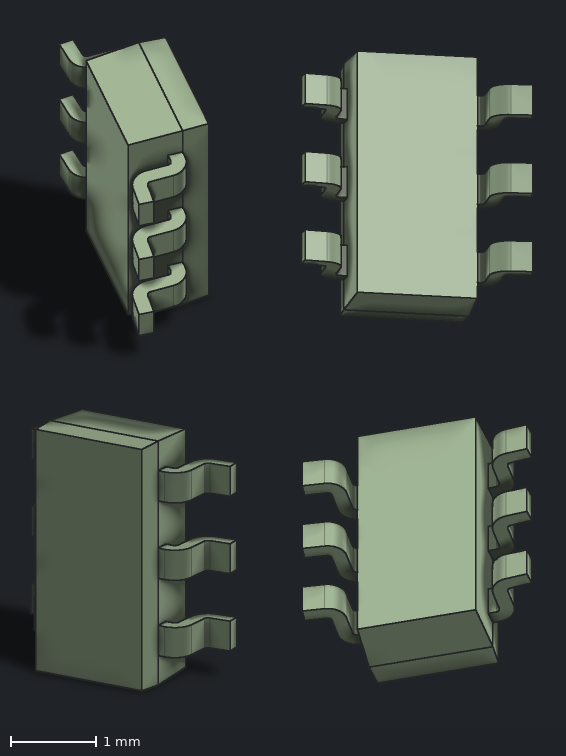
import cadquery as cq
import math


housing_width = 1.5
housing_length = 3.0
housing_top = 1.1
housing_bottom = 0.1
parting_height = 0.767
draft_angle = 3.0

lead_span = 2.75
lead_thickness = 0.18
lead_width = 0.37
lead_pitch = 0.95
leads_per_side = 3
leg_outer_x = 1.065
inner_radius = 0.05
foot_angle = 5.0

outer_radius = inner_radius + lead_thickness
leg_inner_x = leg_outer_x - lead_thickness


def housing_half(depth, direction):
    """Half of the moulding, tapering away from the parting plane along direction * Y."""
    normal = (0, direction, 0)
    plane = cq.Plane(origin=(0, parting_height, 0), xDir=(1, 0, 0), normal=normal)
    return cq.Workplane(plane).rect(housing_width, housing_length).extrude(depth, taper=draft_angle)


def polar(center, radius, degrees):
    """Point at the given radius and angle around a center."""
    angle = math.radians(degrees)
    return (center[0] + radius * math.cos(angle), center[1] + radius * math.sin(angle))


def lead_profile():
    """Gull-wing section of a +X lead, from the housing wall to the tip of the foot."""
    slope = math.radians(foot_angle)

    root_top = (housing_width / 2, parting_height)
    root_bottom = (
        housing_width / 2 - lead_thickness * math.tan(math.radians(draft_angle)),
        parting_height - lead_thickness,
    )

    tip_top = (lead_span / 2, lead_thickness * math.cos(slope))
    tip_bottom = (tip_top[0] - lead_thickness * math.sin(slope), 0)

    shoulder = (leg_inner_x - inner_radius, parting_height - outer_radius)
    heel_x = leg_outer_x + inner_radius
    heel_y = (tip_bottom[0] - heel_x) * math.tan(slope) + outer_radius / math.cos(slope)
    heel = (heel_x, heel_y)
    foot_start = 270 - foot_angle
    heel_middle = (180 + foot_start) / 2

    return (
        cq.Workplane("XY")
        .moveTo(*root_top)
        .lineTo(*polar(shoulder, outer_radius, 90))
        .threePointArc(polar(shoulder, outer_radius, 45), polar(shoulder, outer_radius, 0))
        .lineTo(*polar(heel, inner_radius, 180))
        .threePointArc(polar(heel, inner_radius, heel_middle), polar(heel, inner_radius, foot_start))
        .lineTo(*tip_top)
        .lineTo(*tip_bottom)
        .lineTo(*polar(heel, outer_radius, foot_start))
        .threePointArc(polar(heel, outer_radius, heel_middle), polar(heel, outer_radius, 180))
        .lineTo(*polar(shoulder, inner_radius, 0))
        .threePointArc(polar(shoulder, inner_radius, 45), polar(shoulder, inner_radius, 90))
        .lineTo(*root_bottom)
        .close()
    )


upper_housing = housing_half(housing_top - parting_height, 1)
lower_housing = housing_half(parting_height - housing_bottom, -1)

right_lead = lead_profile().extrude(lead_width / 2, both=True)
left_lead = right_lead.mirror("YZ")
leads = []
for index in range(leads_per_side):
    lead_z = (index - (leads_per_side - 1) / 2) * lead_pitch
    for lead in (left_lead, right_lead):
        leads.append(lead.solids().val().translate(cq.Vector(0, 0, lead_z)))

result = cq.Compound.makeCompound([upper_housing.val(), lower_housing.val(), *leads])